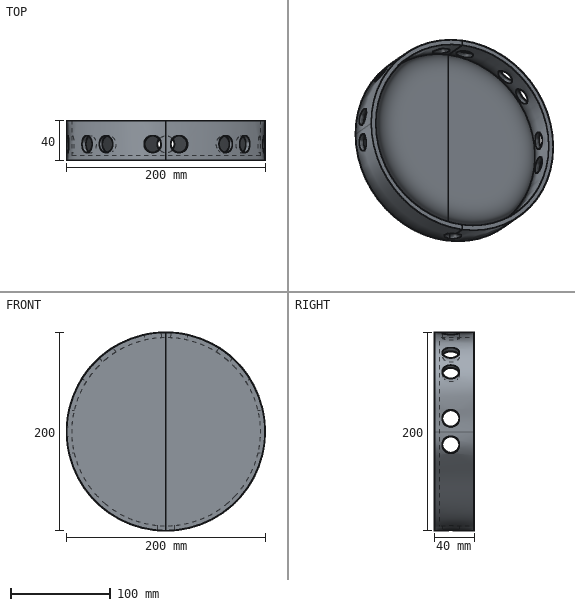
import cadquery as cq

outer_diameter = 200.0
depth = 40.0
wall = 5.0
hole_diameter = 17.0
hole_from_front = 16.5
pair_half_angle = 7.8
pair_angles = [0, 45, 90, 135, 180]
bottom_angle = 270

outer_radius = outer_diameter / 2
inner_radius = outer_radius - wall
front_y = -depth / 2
back_y = depth / 2
hole_y = front_y + hole_from_front


def y_cylinder(radius, start_y, end_y):
    """Solid cylinder along Y between two Y positions."""
    plane = cq.Workplane("XZ", origin=(0, start_y, 0))
    return plane.circle(radius).extrude(start_y - end_y)


def radial_hole(angle):
    """Cutter running from the centre outwards through the rim."""
    cutter = cq.Workplane("YZ", origin=(0, hole_y, 0)).circle(hole_diameter / 2).extrude(outer_diameter)
    return cutter.rotate((0, 0, 0), (0, 1, 0), -angle)


def make_drum():
    """Full round cup: a front plate and a perforated rim, open at the back."""
    drum = y_cylinder(outer_radius, front_y, back_y)
    drum = drum.cut(y_cylinder(inner_radius, front_y + wall, back_y))
    for pair_angle in pair_angles:
        for offset in (-pair_half_angle, pair_half_angle):
            drum = drum.cut(radial_hole(pair_angle + offset))
    return drum.cut(radial_hole(bottom_angle))


def make_half_drum(side):
    """Half of the drum on one side of the X = 0 plane: side is -1 or +1."""
    keep = cq.Workplane("XY").box(outer_radius, depth, outer_diameter)
    return make_drum().intersect(keep.translate((side * outer_radius / 2, 0, 0)))


half_drums = [make_half_drum(side) for side in (-1, 1)]

result = cq.Compound.makeCompound([half.solids().val() for half in half_drums])